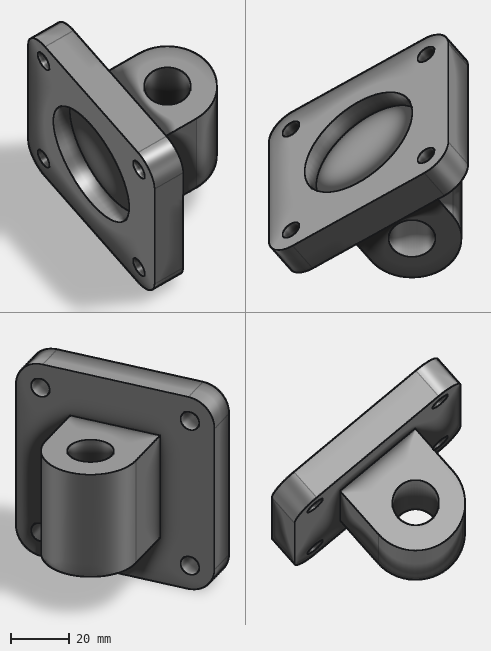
import cadquery as cq

plate_side = 75.0
plate_thickness = 12.0
corner_radius = 10.0

mount_hole_diameter = 7.0
mount_hole_spacing = 56.5

recess_diameter = 45.0
recess_depth = 7.0

total_depth = 49.0
lug_width = 34.0
lug_height = 40.0
pivot_hole_diameter = 16.0

lug_radius = lug_width / 2
pivot_y = total_depth - lug_radius


def make_plate():
    """Flange with rounded corners, mounting holes and front recess."""
    plate = (
        cq.Workplane("XZ")
        .rect(plate_side, plate_side)
        .extrude(-plate_thickness)
        .edges("|Y")
        .fillet(corner_radius)
    )
    mount_holes = (
        cq.Workplane("XZ")
        .rect(mount_hole_spacing, mount_hole_spacing, forConstruction=True)
        .vertices()
        .circle(mount_hole_diameter / 2)
        .extrude(-plate_thickness)
    )
    recess = cq.Workplane("XZ").circle(recess_diameter / 2).extrude(-recess_depth)
    return plate.cut(mount_holes).cut(recess)


def make_lug():
    """Lug with a half-round end concentric with its pivot hole."""
    lug = (
        cq.Workplane("XY")
        .moveTo(-lug_radius, plate_thickness)
        .lineTo(-lug_radius, pivot_y)
        .threePointArc((0, total_depth), (lug_radius, pivot_y))
        .lineTo(lug_radius, plate_thickness)
        .close()
        .extrude(lug_height / 2, both=True)
    )
    pivot_hole = (
        cq.Workplane("XY")
        .center(0, pivot_y)
        .circle(pivot_hole_diameter / 2)
        .extrude(lug_height / 2, both=True)
    )
    return lug.cut(pivot_hole)


result = make_plate().union(make_lug())